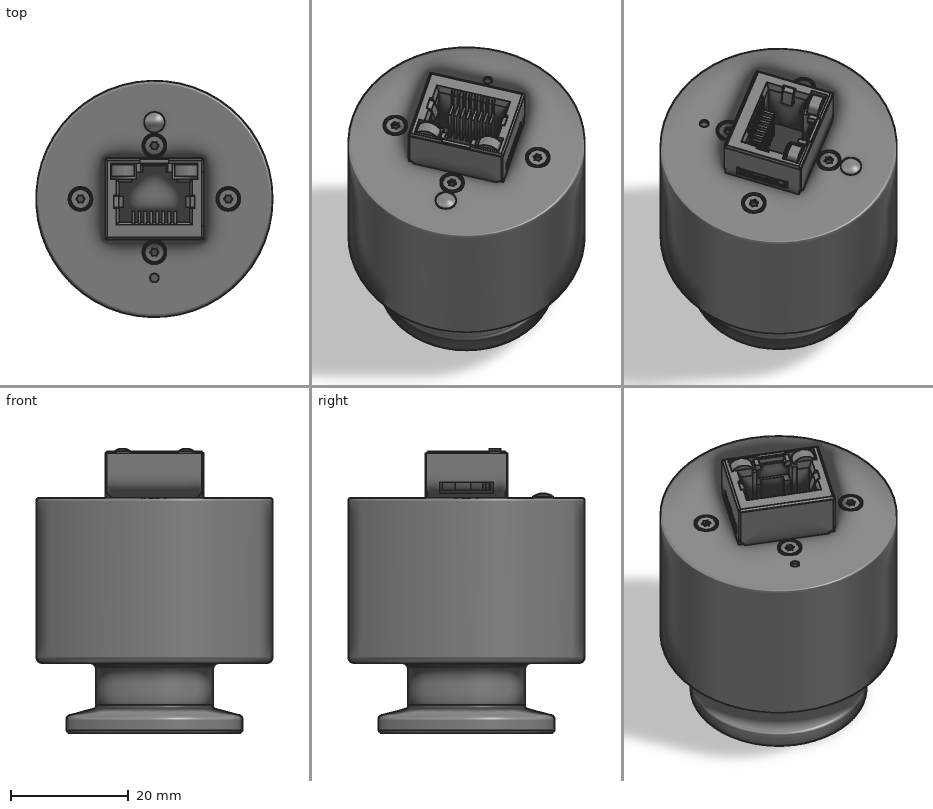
import cadquery as cq
import math

BODY_RADIUS = 40.2 / 2
BODY_BOTTOM = 11.9
BODY_TOP = 40.0
BODY_TOP_FILLET = 0.5
BODY_BOTTOM_FILLET = 1.1
NECK_RADIUS = 20.0 / 2
NECK_FILLET = 0.9
FLANGE_RADIUS = 30.0 / 2
FLANGE_RIM_TOP = 2.3
FLANGE_BOTTOM_CHAMFER = 0.5
CONE_TOP_RADIUS = 10.3
CONE_TOP = 4.2
CONE_BOTTOM_RADIUS = 14.1
CONE_ANGLE = math.radians(15)
CONE_BOTTOM = CONE_TOP - (CONE_BOTTOM_RADIUS - CONE_TOP_RADIUS) * math.tan(CONE_ANGLE)
CONE_BLEND_TOP = 4.85

SCREW_X = 12.55
SCREW_Y = 9.05
SCREW_RECESS_DIAMETER = 4.1
SCREW_SEAT_DIAMETER = 3.8
SCREW_HEAD_DIAMETER = 3.5
SCREW_HEAD_TOP_DIAMETER = 3.3
SCREW_GAP_DEPTH = 0.5
SOCKET_DIAMETER = 1.5
SOCKET_ROOT_DIAMETER = 1.15
SOCKET_LOBES = 6
SOCKET_DEPTH = 0.8
VENT_DIAMETER = 1.5
VENT_DEPTH = 0.6
VENT_Y = -13.4
DOME_DIAMETER = 3.5
DOME_RIM_HEIGHT = 0.15
DOME_HEIGHT = 0.62
DOME_Y = 13.02

JACK_X = 16.7
JACK_Y = 13.7
PLATE_X = 16.1
PLATE_THICKNESS = 0.12
JACK_TOP = 47.9
JACK_EDGE = 0.35
CORNER_CUT = 1.1
CORNER_CUT_DEPTH = 0.35

CAVITY_FLOOR = 37.0
MOUTH_HALF_X = 6.47
MOUTH_FRONT_Y = -4.42
MOUTH_BACK_Y = 3.35
LEAD_IN = 0.48
LEAD_IN_DEPTH = 1.2
KEY_HALF_X = 3.07
KEY_BACK_Y = 4.5
GROOVE_HALF_X = 3.85
LATCH_HALF_X = 2.48
LATCH_BACK_Y = 6.1
LATCH_LEDGE_DROP = 0.5
LATCH_UNDERCUT_BOTTOM = 43.0
LATCH_UNDERCUT_TOP = 46.3
BACK_NOTCH_DEPTH = 0.2

LIGHT_X = 5.4
LIGHT_DIAMETER = 4.1
LIGHT_FRONT_Y = 3.85
LIGHT_BACK_Y = 5.8
LIGHT_TOP = 48.37
LIGHT_WINDOW_OUTER_X = 7.4
LIGHT_WINDOW_DEPTH = 1.0

SPRING_Y = -0.47
SPRING_WIDTH = 1.83
SPRING_NOTCH_WIDTH = 2.2
SPRING_OUTER_X = 6.86
SPRING_BEND_X = 6.05
SPRING_TIP_X = 5.3
SPRING_TOP = 47.7
SPRING_BEND_Z = 47.3
SPRING_TIP_Z = 44.7
SPRING_ROOT_Z = 42.9

CONTACT_COUNT = 8
CONTACT_PITCH = 1.016
CONTACT_WIDTH = 0.48
CONTACT_BACK_Y = -2.12
CONTACT_TOP = 43.5

WINDOW_WIDTH = 9.1
WINDOW_BOTTOM = 40.8
WINDOW_TOP = 42.6
WINDOW_DEPTH = 0.15
OPENING_BOTTOM = 41.3
WINDOW_BAYS = (
    (-4.15, -1.9, 0.5),
    (-1.9, 0.74, 0.3),
    (0.74, 2.8, 0.4),
    (2.8, 3.3, 1.0),
    (3.3, 3.83, 0.8),
    (3.83, 4.15, 0.3),
)


def block(x_min, x_max, y_min, y_max, z_min, z_max):
    """Axis-aligned box given by its limits."""
    size = (x_max - x_min, y_max - y_min, z_max - z_min)
    return cq.Workplane("XY").box(*size, centered=False).translate((x_min, y_min, z_min))


def mirrored(shape):
    """The shape together with its mirror image across the YZ plane."""
    return shape.union(shape.mirror("YZ"))


def make_housing():
    rim_inner = FLANGE_RADIUS - FLANGE_BOTTOM_CHAMFER
    fillet_mid = 1 - math.sqrt(0.5)
    profile = (
        cq.Workplane("XZ")
        .lineTo(rim_inner, 0)
        .lineTo(FLANGE_RADIUS, FLANGE_BOTTOM_CHAMFER)
        .lineTo(FLANGE_RADIUS, FLANGE_RIM_TOP)
        .tangentArcPoint((CONE_BOTTOM_RADIUS, CONE_BOTTOM), relative=False)
        .lineTo(CONE_TOP_RADIUS, CONE_TOP)
        .tangentArcPoint((NECK_RADIUS, CONE_BLEND_TOP), relative=False)
        .lineTo(NECK_RADIUS, BODY_BOTTOM - NECK_FILLET)
        .threePointArc(
            (NECK_RADIUS + NECK_FILLET * fillet_mid, BODY_BOTTOM - NECK_FILLET * fillet_mid),
            (NECK_RADIUS + NECK_FILLET, BODY_BOTTOM),
        )
        .lineTo(BODY_RADIUS - BODY_BOTTOM_FILLET, BODY_BOTTOM)
        .threePointArc(
            (BODY_RADIUS - BODY_BOTTOM_FILLET * fillet_mid, BODY_BOTTOM + BODY_BOTTOM_FILLET * fillet_mid),
            (BODY_RADIUS, BODY_BOTTOM + BODY_BOTTOM_FILLET),
        )
        .lineTo(BODY_RADIUS, BODY_TOP - BODY_TOP_FILLET)
        .threePointArc(
            (BODY_RADIUS - BODY_TOP_FILLET * fillet_mid, BODY_TOP - BODY_TOP_FILLET * fillet_mid),
            (BODY_RADIUS - BODY_TOP_FILLET, BODY_TOP),
        )
        .lineTo(0, BODY_TOP)
        .close()
    )
    return profile.revolve(360, (0, 0, 0), (0, 1, 0))


def make_screw_cut():
    """Gap around a flush screw head plus its star-shaped socket, top at Z = 0."""
    depth = SCREW_GAP_DEPTH
    gap = (
        cq.Workplane("XZ")
        .moveTo(SCREW_HEAD_TOP_DIAMETER / 2, 0)
        .lineTo(SCREW_RECESS_DIAMETER / 2, 0)
        .lineTo(SCREW_SEAT_DIAMETER / 2, -depth)
        .lineTo(SCREW_HEAD_DIAMETER / 2, -depth)
        .close()
        .revolve(360, (0, 0, 0), (0, 1, 0))
    )
    star = []
    for corner in range(2 * SOCKET_LOBES):
        radius = (SOCKET_ROOT_DIAMETER if corner % 2 else SOCKET_DIAMETER) / 2
        angle = corner * math.pi / SOCKET_LOBES
        star.append((radius * math.cos(angle), radius * math.sin(angle)))
    socket = cq.Workplane("XY").polyline(star).close().extrude(-SOCKET_DEPTH)
    return gap.union(socket)


def make_dome():
    """Spherical cap on a short cylindrical rim that reaches the body top."""
    radius = DOME_DIAMETER / 2
    sphere_radius = (radius**2 + DOME_HEIGHT**2) / (2 * DOME_HEIGHT)
    sphere = cq.Workplane("XY").sphere(sphere_radius).translate((0, 0, DOME_HEIGHT - sphere_radius))
    cap = sphere.intersect(cq.Workplane("XY").circle(radius).extrude(DOME_HEIGHT))
    rim = cq.Workplane("XY").circle(radius).extrude(-DOME_RIM_HEIGHT)
    return cap.union(rim).translate((0, DOME_Y, BODY_TOP + DOME_RIM_HEIGHT))


def make_jack_shell():
    """Block with thin front and back plates, clipped lower corners and a notch behind the latch."""
    half_x = JACK_X / 2
    half_y = JACK_Y / 2
    plate_half_x = PLATE_X / 2
    plate_y = half_y + PLATE_THICKNESS
    shell = block(-half_x, half_x, -half_y, half_y, BODY_TOP, JACK_TOP)
    shell = shell.edges(">Z").chamfer(JACK_EDGE)
    plates = block(-plate_half_x, plate_half_x, -plate_y, plate_y, BODY_TOP, JACK_TOP - JACK_EDGE)
    shell = shell.union(plates)
    corner = (
        cq.Workplane("XZ")
        .moveTo(half_x, BODY_TOP)
        .lineTo(half_x, BODY_TOP + CORNER_CUT)
        .lineTo(half_x - CORNER_CUT, BODY_TOP)
        .close()
        .extrude(CORNER_CUT_DEPTH)
        .translate((0, CORNER_CUT_DEPTH - plate_y, 0))
    )
    corners = mirrored(corner.union(corner.mirror("XZ")))
    notch = block(-LATCH_HALF_X, LATCH_HALF_X, LATCH_BACK_Y, plate_y, JACK_TOP - BACK_NOTCH_DEPTH, JACK_TOP)
    return shell.cut(corners).cut(notch)


def tapered_mouth(half_x, y_min, y_max):
    """Lead-in that narrows by LEAD_IN on every side below the jack top."""
    taper = math.degrees(math.atan(LEAD_IN / LEAD_IN_DEPTH))
    return (
        cq.Workplane("XY")
        .workplane(offset=JACK_TOP)
        .center(0, (y_min + y_max) / 2)
        .rect(2 * half_x, y_max - y_min)
        .extrude(-LEAD_IN_DEPTH, taper=taper)
    )


def contact_positions():
    middle = (CONTACT_COUNT - 1) / 2
    return [(index - middle) * CONTACT_PITCH for index in range(CONTACT_COUNT)]


def make_cavity():
    plug_half_x = MOUTH_HALF_X - LEAD_IN
    plug_front = MOUTH_FRONT_Y + LEAD_IN
    plug_back = MOUTH_BACK_Y - LEAD_IN
    latch_half_x = LATCH_HALF_X - LEAD_IN
    latch_back = LATCH_BACK_Y - LEAD_IN
    ledge = JACK_TOP - LATCH_LEDGE_DROP
    window_floor = JACK_TOP - LIGHT_WINDOW_DEPTH

    cavity = block(-plug_half_x, plug_half_x, plug_front, plug_back, CAVITY_FLOOR, JACK_TOP)
    cavity = cavity.union(tapered_mouth(MOUTH_HALF_X, MOUTH_FRONT_Y, MOUTH_BACK_Y))
    cavity = cavity.union(tapered_mouth(LATCH_HALF_X, 0, LATCH_BACK_Y))
    cavity = cavity.union(block(-GROOVE_HALF_X, GROOVE_HALF_X, 0, MOUTH_BACK_Y, CAVITY_FLOOR, JACK_TOP))
    cavity = cavity.union(block(-KEY_HALF_X, KEY_HALF_X, 0, KEY_BACK_Y, CAVITY_FLOOR, JACK_TOP))
    cavity = cavity.union(block(-latch_half_x, latch_half_x, 0, latch_back, CAVITY_FLOOR, JACK_TOP))
    cavity = cavity.union(block(-KEY_HALF_X, KEY_HALF_X, 0, LATCH_BACK_Y, ledge, JACK_TOP))
    cavity = cavity.union(
        block(-KEY_HALF_X, KEY_HALF_X, 0, LATCH_BACK_Y, LATCH_UNDERCUT_BOTTOM, LATCH_UNDERCUT_TOP)
    )
    window = block(KEY_HALF_X, LIGHT_WINDOW_OUTER_X, MOUTH_BACK_Y, LATCH_BACK_Y, window_floor, JACK_TOP)
    notch_half = SPRING_NOTCH_WIDTH / 2
    notch = block(0, SPRING_OUTER_X, SPRING_Y - notch_half, SPRING_Y + notch_half, SPRING_TIP_Z, JACK_TOP)
    cavity = cavity.union(mirrored(window)).union(mirrored(notch))
    for x in contact_positions():
        half = CONTACT_WIDTH / 2
        cavity = cavity.union(block(x - half, x + half, MOUTH_FRONT_Y, 0, CONTACT_TOP, JACK_TOP))
    return cavity


def make_contacts():
    half = CONTACT_WIDTH / 2
    contacts = cq.Workplane("XY")
    for x in contact_positions():
        blade = block(x - half, x + half, MOUTH_FRONT_Y, CONTACT_BACK_Y, CAVITY_FLOOR, CONTACT_TOP)
        contacts = contacts.add(blade)
    return contacts.combine()


def make_light_pipes():
    radius = LIGHT_DIAMETER / 2
    length = LIGHT_BACK_Y - LIGHT_FRONT_Y
    axis_z = LIGHT_TOP - radius
    pipe = (
        cq.Workplane("XZ")
        .center(LIGHT_X, axis_z)
        .circle(radius)
        .extrude(-length)
        .translate((0, LIGHT_FRONT_Y, 0))
    )
    return mirrored(pipe)


def make_springs():
    spring = (
        cq.Workplane("XZ")
        .moveTo(SPRING_OUTER_X, SPRING_TOP)
        .lineTo(SPRING_BEND_X, SPRING_BEND_Z)
        .lineTo(SPRING_TIP_X, SPRING_TIP_Z)
        .lineTo(SPRING_OUTER_X, SPRING_ROOT_Z)
        .close()
        .extrude(SPRING_WIDTH / 2, both=True)
        .translate((0, SPRING_Y, 0))
    )
    return mirrored(spring)


def make_side_windows():
    face = JACK_X / 2
    half = WINDOW_WIDTH / 2
    window = block(face - WINDOW_DEPTH, face, -half, half, WINDOW_BOTTOM, WINDOW_TOP)
    for y_min, y_max, depth in WINDOW_BAYS:
        window = window.union(block(face - depth, face, y_min, y_max, OPENING_BOTTOM, WINDOW_TOP))
    return mirrored(window)


housing = make_housing()
screw_cut = make_screw_cut()
for x, y in ((SCREW_X, 0), (-SCREW_X, 0), (0, SCREW_Y), (0, -SCREW_Y)):
    housing = housing.cut(screw_cut.translate((x, y, BODY_TOP)))
vent = cq.Workplane("XY").circle(VENT_DIAMETER / 2).extrude(-VENT_DEPTH)
housing = housing.cut(vent.translate((0, VENT_Y, BODY_TOP)))

result = housing.union(make_dome()).union(make_jack_shell())
result = result.cut(make_cavity()).cut(make_side_windows())
result = result.union(make_contacts()).union(make_light_pipes()).union(make_springs())